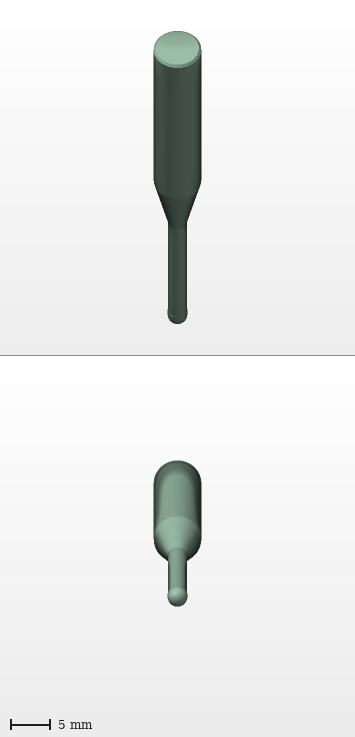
import cadquery as cq

shank_radius = 6.0 / 2
total_length = 55.0
shank_chamfer = 0.3

ball_radius = 2.5 / 2
cutting_length = 2.0

neck_radius = 2.39 / 2
neck_start = 2.4
neck_end = 20.0
taper_end = 28.3


def make_cutting_head():
    """Ball tip with a short cylindrical cutting land above it."""
    diagonal = 0.5**0.5
    profile = (
        cq.Workplane("XZ")
        .moveTo(0, 0)
        .threePointArc(
            (ball_radius * diagonal, ball_radius - ball_radius * diagonal),
            (ball_radius, ball_radius),
        )
        .lineTo(ball_radius, cutting_length)
        .lineTo(0, cutting_length)
        .close()
    )
    return profile.revolve(360, (0, 0), (0, 1))


def make_shank():
    """Slightly relieved neck, stepped down by a short cone, that tapers out to the chamfered clamping shank."""
    profile = (
        cq.Workplane("XZ")
        .moveTo(0, cutting_length)
        .lineTo(ball_radius, cutting_length)
        .lineTo(neck_radius, neck_start)
        .lineTo(neck_radius, neck_end)
        .lineTo(shank_radius, taper_end)
        .lineTo(shank_radius, total_length - shank_chamfer)
        .lineTo(shank_radius - shank_chamfer, total_length)
        .lineTo(0, total_length)
        .close()
    )
    return profile.revolve(360, (0, 0), (0, 1))


cutting_head = make_cutting_head()
shank = make_shank()

result = cq.Compound.makeCompound([cutting_head.val(), shank.val()])